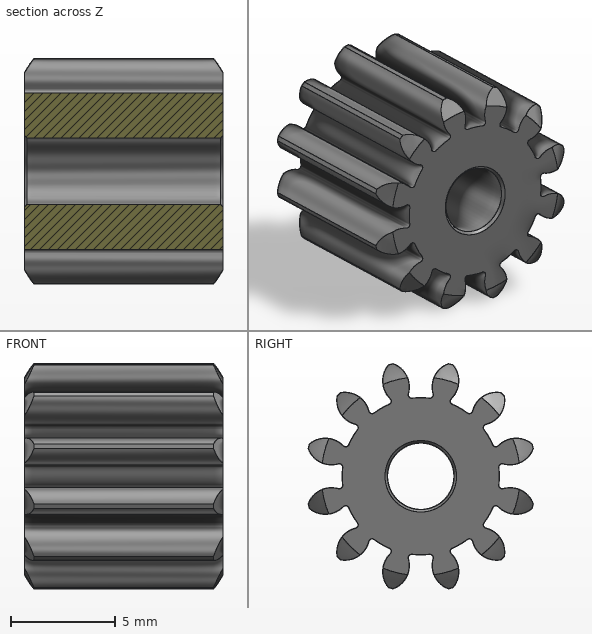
import cadquery as cq
import math

INCH = 25.4

tooth_count = 12
module = INCH / 32
face_width = 3 / 8 * INCH

pitch_radius = tooth_count * module / 2
tip_radius = pitch_radius + module
root_radius = pitch_radius - 1.25 * module

flank_radius = 1.5 * module
root_fillet_radius = 0.2 * module
half_thickness = math.pi * module / 4
half_tip_land = 0.115

tooth_chamfer_angle = 30.0

bore_radius = INCH / 8 / 2
bore_chamfer = 0.005 * INCH

tooth_pitch = 2 * math.pi / tooth_count


def polar(radius, angle):
    return radius * math.cos(angle), radius * math.sin(angle)


def along(start, target, distance):
    """Point at a distance from start on the line towards target."""
    angle = math.atan2(target[1] - start[1], target[0] - start[0])
    dx, dy = polar(distance, angle)
    return start[0] + dx, start[1] + dy


def arc_middle(center, radius, start, end):
    """Middle point of the shorter circular arc from start to end."""
    chord_middle = ((start[0] + end[0]) / 2, (start[1] + end[1]) / 2)
    return along(center, chord_middle, radius)


def rotated(point, angle):
    return polar(math.hypot(*point), math.atan2(point[1], point[0]) + angle)


def mirrored(point):
    return point[0], -point[1]


def tooth_half_points():
    """Points of one tooth side, from the root circle to the tip land.

    The tooth points along the first sketch axis. The flank is one convex arc
    which reaches the full half thickness near the pitch circle, and a concave
    fillet is tangent to both the flank and the root circle.
    """
    tip_corner = (math.sqrt(tip_radius**2 - half_tip_land**2), half_tip_land)
    center_offset = half_thickness - flank_radius
    rise = half_tip_land - center_offset
    flank_center = (tip_corner[0] - math.sqrt(flank_radius**2 - rise**2), center_offset)

    center_distance = math.hypot(*flank_center)
    to_root = root_radius + root_fillet_radius
    to_flank = flank_radius + root_fillet_radius
    cosine = (center_distance**2 + to_root**2 - to_flank**2) / (2 * center_distance * to_root)
    flank_angle = math.atan2(flank_center[1], flank_center[0])
    fillet_center = polar(to_root, flank_angle + math.acos(cosine))

    fillet_start = along(fillet_center, (0, 0), root_fillet_radius)
    flank_start = along(fillet_center, flank_center, root_fillet_radius)
    fillet_middle = arc_middle(fillet_center, root_fillet_radius, fillet_start, flank_start)
    flank_middle = arc_middle(flank_center, flank_radius, flank_start, tip_corner)
    return fillet_start, fillet_middle, flank_start, flank_middle, tip_corner


def make_toothed_blank():
    upper = tooth_half_points()
    lower = [mirrored(point) for point in upper]
    first_angle = tooth_pitch / 2

    outline = cq.Workplane("YZ", origin=(-face_width / 2, 0, 0))
    outline = outline.moveTo(*rotated(lower[0], first_angle))
    for index in range(tooth_count):
        angle = first_angle + index * tooth_pitch
        _, low_fillet, low_flank_start, low_flank, low_tip = [rotated(p, angle) for p in lower]
        root_end, high_fillet, high_flank_start, high_flank, high_tip = [rotated(p, angle) for p in upper]
        next_root_start = rotated(lower[0], angle + tooth_pitch)
        outline = (
            outline.threePointArc(low_fillet, low_flank_start)
            .threePointArc(low_flank, low_tip)
            .threePointArc(polar(tip_radius, angle), high_tip)
            .threePointArc(high_flank, high_flank_start)
            .threePointArc(high_fillet, root_end)
            .threePointArc(polar(root_radius, angle + tooth_pitch / 2), next_root_start)
        )
    return outline.close().extrude(face_width)


def make_end_chamfer_envelope():
    """Cylinder over the tooth tips, tapered down to the pitch circle at both ends."""
    clearance = module
    slope = math.tan(math.radians(tooth_chamfer_angle))
    outer_radius = tip_radius + clearance
    half_width = face_width / 2
    shoulder = half_width - (outer_radius - pitch_radius) * slope
    return (
        cq.Workplane("XY")
        .moveTo(-half_width, 0)
        .lineTo(-half_width, pitch_radius)
        .lineTo(-shoulder, outer_radius)
        .lineTo(shoulder, outer_radius)
        .lineTo(half_width, pitch_radius)
        .lineTo(half_width, 0)
        .close()
        .revolve(360, (0, 0, 0), (1, 0, 0))
    )


def make_bore():
    """Through bore with a 45 degree chamfer at each end."""
    half_width = face_width / 2
    mouth_radius = bore_radius + bore_chamfer
    return (
        cq.Workplane("XY")
        .moveTo(-half_width, 0)
        .lineTo(-half_width, mouth_radius)
        .lineTo(-half_width + bore_chamfer, bore_radius)
        .lineTo(half_width - bore_chamfer, bore_radius)
        .lineTo(half_width, mouth_radius)
        .lineTo(half_width, 0)
        .close()
        .revolve(360, (0, 0, 0), (1, 0, 0))
    )


pinion = make_toothed_blank().intersect(make_end_chamfer_envelope()).cut(make_bore())
result = cq.Workplane("XY").newObject([pinion.solids().val()])